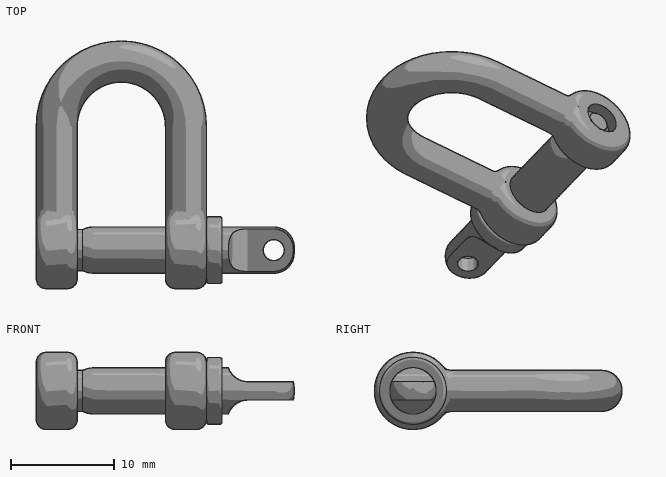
import cadquery as cq
import math

BAR_RADIUS = 2.0
JAW_WIDTH = 8.5
BEND_HEIGHT = 12.0
EYE_RADIUS = 3.75
EYE_WIDTH = 2 * BAR_RADIUS
EYE_FILLET = 1.0
JOINT_FILLET = 1.0
LEG_START_Y = 2.5

LEG_SPACING = JAW_WIDTH + EYE_WIDTH
BEND_RADIUS = LEG_SPACING / 2
FIRST_LEG_X = EYE_WIDTH / 2
SECOND_LEG_X = FIRST_LEG_X + LEG_SPACING
SECOND_EYE_FACE_X = SECOND_LEG_X + EYE_WIDTH / 2

SHANK_RADIUS = 2.25
SCREW_RADIUS = 1.65
NECK_RADIUS = 2.0
SCREW_TIP_X = 0.6
SCREW_TIP_CHAMFER = 0.65
NECK_LENGTH = 0.5
SHOULDER_START_X = EYE_WIDTH + NECK_LENGTH
SHOULDER_LENGTH = 1.0
COLLAR_RADIUS = 3.25
COLLAR_WIDTH = 1.5
COLLAR_FILLET = 0.25
PIN_END_X = 25.0
PIN_END_FILLET = 2.0

TAB_THICKNESS = 1.8
TAB_FLAT_START_X = 20.5
TAB_RUNOUT_RADIUS = 2.0
TAB_HOLE_RADIUS = 1.0
PIN_END_CENTER_X = PIN_END_X - PIN_END_FILLET
TAB_HOLE_X = PIN_END_CENTER_X


def arc_point(center_x, center_y, radius, degrees):
    """Point on an arc, in the coordinates of the sketch that uses it."""
    angle = math.radians(degrees)
    return center_x + radius * math.cos(angle), center_y + radius * math.sin(angle)


def make_pin():
    shoulder_end_x = SHOULDER_START_X + SHOULDER_LENGTH
    end_center_r = SHANK_RADIUS - PIN_END_FILLET

    shoulder_rise = SHANK_RADIUS - NECK_RADIUS
    shoulder_radius = (SHOULDER_LENGTH**2 + shoulder_rise**2) / (2 * shoulder_rise)
    shoulder_center_r = SHANK_RADIUS - shoulder_radius
    shoulder_sweep = math.degrees(math.asin(SHOULDER_LENGTH / shoulder_radius))
    shoulder_middle = arc_point(
        shoulder_end_x, shoulder_center_r, shoulder_radius, 90 + shoulder_sweep / 2
    )

    turned = (
        cq.Workplane("XY")
        .moveTo(SCREW_TIP_X, 0)
        .lineTo(SCREW_TIP_X, SCREW_RADIUS - SCREW_TIP_CHAMFER)
        .lineTo(SCREW_TIP_X + SCREW_TIP_CHAMFER, SCREW_RADIUS)
        .lineTo(EYE_WIDTH, SCREW_RADIUS)
        .lineTo(EYE_WIDTH, NECK_RADIUS)
        .lineTo(SHOULDER_START_X, NECK_RADIUS)
        .threePointArc(shoulder_middle, (shoulder_end_x, SHANK_RADIUS))
        .lineTo(PIN_END_CENTER_X, SHANK_RADIUS)
        .threePointArc(
            arc_point(PIN_END_CENTER_X, end_center_r, PIN_END_FILLET, 45),
            (PIN_END_X, end_center_r),
        )
        .lineTo(PIN_END_X, 0)
        .close()
        .revolve(360, (0, 0, 0), (1, 0, 0))
    )
    collar = (
        cq.Workplane("YZ", origin=(SECOND_EYE_FACE_X, 0, 0))
        .circle(COLLAR_RADIUS)
        .extrude(COLLAR_WIDTH)
        .edges()
        .fillet(COLLAR_FILLET)
    )
    tab_hole = (
        cq.Workplane("XY")
        .center(TAB_HOLE_X, 0)
        .circle(TAB_HOLE_RADIUS)
        .extrude(SHANK_RADIUS, both=True)
    )
    upper_relief = make_tab_relief()
    lower_relief = upper_relief.mirror("XY")
    return turned.union(collar).cut(upper_relief).cut(lower_relief).cut(tab_hole)


def make_tab_relief():
    """Material removed above the tab, with a concave run-out towards the collar."""
    flat_z = TAB_THICKNESS / 2
    center_z = flat_z + TAB_RUNOUT_RADIUS
    middle = arc_point(TAB_FLAT_START_X, center_z, TAB_RUNOUT_RADIUS, 225)
    return (
        cq.Workplane("XZ")
        .moveTo(PIN_END_X, flat_z)
        .lineTo(TAB_FLAT_START_X, flat_z)
        .threePointArc(middle, (TAB_FLAT_START_X - TAB_RUNOUT_RADIUS, center_z))
        .lineTo(PIN_END_X, center_z)
        .close()
        .extrude(SHANK_RADIUS, both=True)
    )


def make_eye(center_x):
    return (
        cq.Workplane("YZ", origin=(center_x - EYE_WIDTH / 2, 0, 0))
        .circle(EYE_RADIUS)
        .extrude(EYE_WIDTH)
        .edges()
        .fillet(EYE_FILLET)
    )


def make_bow():
    path = (
        cq.Workplane("XY")
        .moveTo(FIRST_LEG_X, LEG_START_Y)
        .lineTo(FIRST_LEG_X, BEND_HEIGHT)
        .threePointArc(
            (FIRST_LEG_X + BEND_RADIUS, BEND_HEIGHT + BEND_RADIUS),
            (SECOND_LEG_X, BEND_HEIGHT),
        )
        .lineTo(SECOND_LEG_X, LEG_START_Y)
    )
    section_plane = cq.Plane(origin=(FIRST_LEG_X, LEG_START_Y, 0), xDir=(0, 0, 1), normal=(0, 1, 0))
    return cq.Workplane(section_plane).circle(BAR_RADIUS).sweep(path)


def make_shackle(pin):
    screw_hole = cq.Workplane("YZ").circle(SCREW_RADIUS).extrude(EYE_WIDTH)
    first_eye = make_eye(FIRST_LEG_X).cut(screw_hole).cut(pin)
    second_eye = make_eye(SECOND_LEG_X).cut(pin)
    body = make_bow().union(first_eye).union(second_eye)

    joint_seams = body.edges("%BSPLINE")
    return joint_seams.fillet(JOINT_FILLET)


pin = make_pin()
shackle = make_shackle(pin)
result = cq.Compound.makeCompound([shackle.val(), pin.val()])